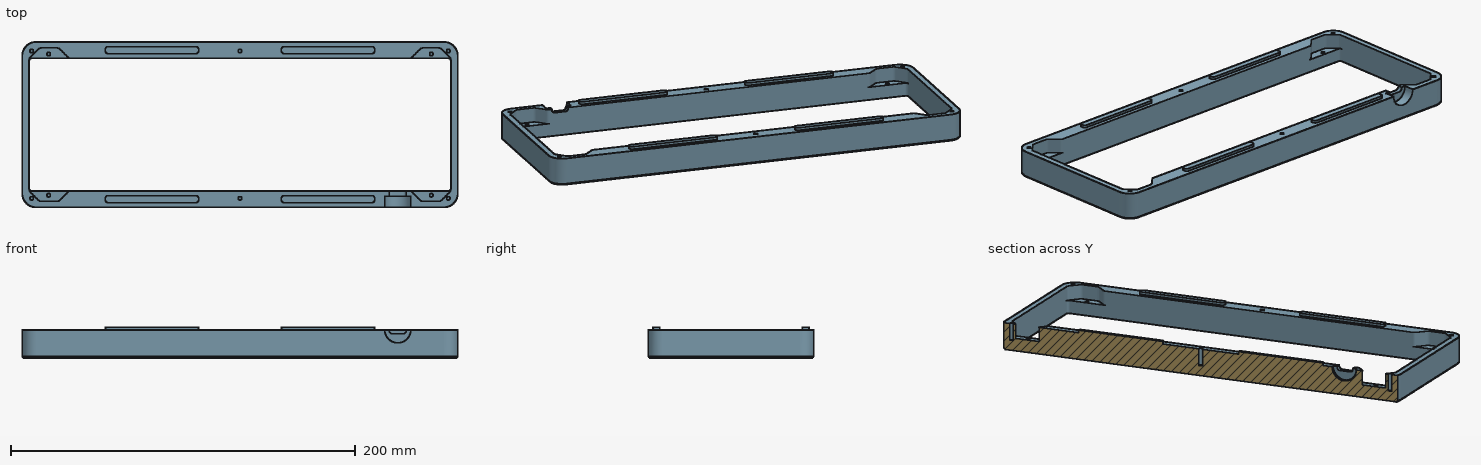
import cadquery as cq

length = 253.0
width = 96.0
frame_height = 16.5
corner_radius = 8.0
bottom_chamfer = 1.0
top_chamfer = 0.13
end_wall = 4.0
side_wall = 9.5
window_length = length - 2 * end_wall
window_width = width - 2 * side_wall
window_corner_radius = 1.5

rib_length = 54.0
rib_width = 4.0
rib_corner_radius = 1.5
rib_height = 1.5
rib_x = 51.0
rib_y = 43.2

hole_diameter = 2.07
hole_depth = 10.0
wall_hole_x = 121.0
wall_hole_y = 42.7
recess_hole_depth = 5.0
recess_hole_x = 111.0
recess_hole_y = 41.0

recess_x = 110.8
recess_floor_length = 11.1
recess_reach = 6.0
recess_depth = 8.5
recess_corner_radius = 2.5
recess_mouth_radius = 2.0

entry_x = 91.5
entry_radius = 7.5
entry_depth = 6.5
neck_width = 9.9
neck_depth = 2.3
neck_corner_radius = 1.8


def make_frame():
    outer = (
        cq.Workplane("XY")
        .rect(length, width)
        .extrude(frame_height)
        .edges("|Z")
        .fillet(corner_radius)
        .faces("<Z")
        .edges()
        .chamfer(bottom_chamfer)
        .faces(">Z")
        .edges()
        .chamfer(top_chamfer)
    )
    window = (
        cq.Workplane("XY")
        .rect(window_length, window_width)
        .extrude(frame_height)
        .edges("|Z")
        .fillet(window_corner_radius)
    )
    return outer.cut(window)


def make_ribs():
    centers = [(sx * rib_x, sy * rib_y) for sx in (-1, 1) for sy in (-1, 1)]
    return (
        cq.Workplane("XY", origin=(0, 0, frame_height))
        .pushPoints(centers)
        .rect(rib_length, rib_width)
        .extrude(rib_height)
        .edges("|Z")
        .fillet(rib_corner_radius)
    )


def make_recess():
    """Recess in the +X +Y corner, with both ends rounded over into the window walls."""
    window_edge = window_width / 2
    far_edge = window_edge + recess_reach
    half_floor = recess_floor_length / 2
    half_mouth = half_floor + recess_reach
    strip_edge = window_edge - recess_reach
    strip_start = recess_x - half_mouth - 2 * recess_mouth_radius
    strip_end = window_length / 2
    end_y = far_edge - (strip_end - recess_x - half_floor)
    profile = [
        (strip_start, strip_edge),
        (strip_start, window_edge),
        (recess_x - half_mouth, window_edge),
        (recess_x - half_floor, far_edge),
        (recess_x + half_floor, far_edge),
        (strip_end, end_y),
        (strip_end, strip_edge),
    ]
    recess = (
        cq.Workplane("XY", origin=(0, 0, frame_height - recess_depth))
        .polyline(profile)
        .close()
        .extrude(recess_depth)
    )
    mouth_point = (recess_x - half_mouth, window_edge, frame_height)
    end_point = (strip_end, end_y, frame_height)
    return (
        recess.edges("|Z and >Y")
        .fillet(recess_corner_radius)
        .edges("|Z")
        .edges(cq.selectors.NearestToPointSelector(mouth_point))
        .fillet(recess_mouth_radius)
        .edges("|Z")
        .edges(cq.selectors.NearestToPointSelector(end_point))
        .fillet(recess_mouth_radius)
    )


def mirror_to_corners(corner_shape):
    pair = corner_shape.union(corner_shape.mirror("YZ"))
    return pair.union(pair.mirror("XZ"))


def make_holes(centers, top, depth):
    return (
        cq.Workplane("XY", origin=(0, 0, top))
        .pushPoints(centers)
        .circle(hole_diameter / 2)
        .extrude(-depth)
    )


def make_cable_entry():
    """Half-round pocket from the outside, with a shallow round-cornered neck through to the window."""
    front_face = cq.Workplane("XZ", origin=(entry_x, -width / 2, frame_height))
    pocket = front_face.circle(entry_radius).extrude(-entry_depth)
    neck = (
        front_face.rect(neck_width, 2 * neck_depth)
        .extrude(-side_wall)
        .edges("|Y")
        .fillet(neck_corner_radius)
    )
    return pocket.union(neck)


wall_hole_centers = [(x, sy * wall_hole_y) for x in (-wall_hole_x, 0, wall_hole_x) for sy in (-1, 1)]
recess_hole_centers = [(sx * recess_hole_x, sy * recess_hole_y) for sx in (-1, 1) for sy in (-1, 1)]

result = (
    make_frame()
    .union(make_ribs())
    .cut(mirror_to_corners(make_recess()))
    .cut(make_holes(wall_hole_centers, frame_height, hole_depth))
    .cut(make_holes(recess_hole_centers, frame_height - recess_depth, recess_hole_depth))
    .cut(make_cable_entry())
)